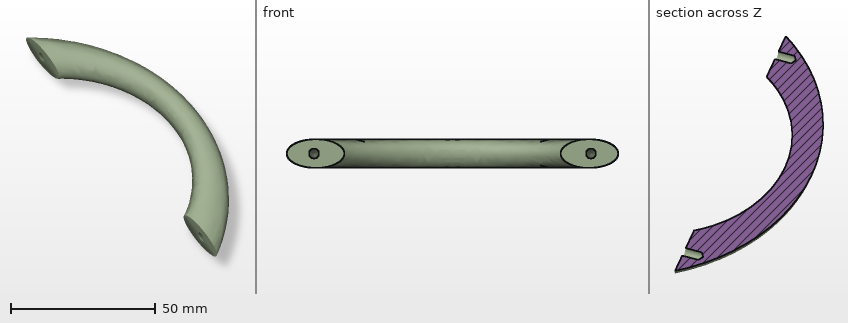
import cadquery as cq
import math

length = 115.0
rise = 30.0
thickness = 10.0
foot_length = 20.0
hole_spacing = 96.0
hole_diameter = 3.5
hole_depth = 6.0
drill_angle = 118.0
section_count = 7


def arc_point(half_chord, sagitta, fraction):
    """Point on a bow arc; fraction 0 is the crown and 1 is the end at Y = 0."""
    radius = (half_chord**2 + sagitta**2) / (2 * sagitta)
    angle = fraction * math.asin(half_chord / radius)
    return cq.Vector(radius * math.sin(angle), sagitta - radius + radius * math.cos(angle))


def section(fraction):
    """Elliptical wire spanning the inner and outer arcs."""
    outer = arc_point(length / 2, rise, fraction)
    inner = arc_point(length / 2 - foot_length, rise - thickness, fraction)
    span = outer - inner
    normal = span.cross(cq.Vector(0, 0, 1))
    return cq.Wire.makeEllipse(
        span.Length / 2, thickness / 2, (outer + inner) * 0.5, normal, span * -1
    )


sections = [section(i / (section_count - 1)) for i in range(section_count)]
half = cq.Workplane(cq.Solid.makeLoft(sections))
bow = half.union(half.mirror("YZ"))

def screw_hole(x):
    """Drill profile turned about the hole axis, entering the foot at Y = 0."""
    radius = hole_diameter / 2
    tip_depth = hole_depth + radius / math.tan(math.radians(drill_angle / 2))
    return (
        cq.Workplane("XY")
        .polyline([(0, 0), (radius, 0), (radius, hole_depth), (0, tip_depth)])
        .close()
        .revolve(360, (0, 0, 0), (0, 1, 0))
        .translate((x, 0, 0))
    )


for hole_x in (-hole_spacing / 2, hole_spacing / 2):
    bow = bow.cut(screw_hole(hole_x))

result = bow